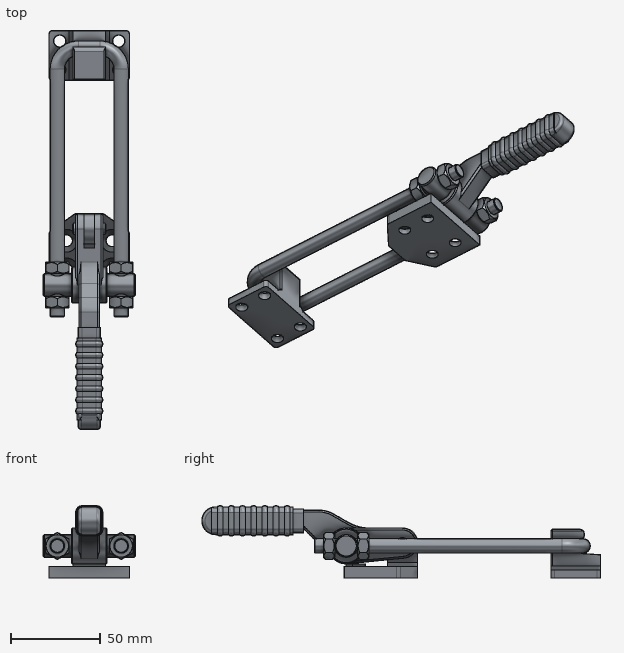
import cadquery as cq
import math


trunnion_z = 18.0
trunnion_diameter = 12.7
trunnion_length = 51.5
trunnion_chamfer = 0.7
bolt_diameter = 8.0
bolt_half_spacing = 17.8
bolt_bend_radius = 11.8
bolt_bend_y = 120.5
bolt_tip_y = -17.8
bolt_tip_chamfer = 0.5
bolt_cross_y = bolt_bend_y + bolt_bend_radius
nut_across_flats = 13.1
nut_across_corners = nut_across_flats / math.cos(math.radians(30))
nut_thickness = 6.5
nut_chamfer = 1.3

mount_width = 45.0
catch_front_y = 114.3
catch_back_y = 142.2
catch_middle_y = (catch_front_y + catch_back_y) / 2
catch_thickness = 4.7
catch_corner_radius = 2.0
catch_hole_diameter = 6.7
catch_hole_x = 16.5
mount_hole_pitch = 16.0
hook_width = 18.3
hook_top_z = 27.5
hook_nose_y = 133.0
hook_back_z = 13.1
hook_groove_diameter = 8.5
hook_nose_top_radius = 2.7
hook_nose_lower_radius = 1.5
hook_edge_chamfer = 1.0
rib_flare = 2.2

pin_y = 31.5
pin_z = 19.6
pin_diameter = 6.2
pin_length = 18.7
pin_chamfer = 0.7
nose_radius = 8.5

base_front_y = -1.1
base_back_y = pin_y + nose_radius
base_thickness = 6.7
base_corner_x = 14.7
base_corner_y = 10.3
base_corner_radius = 2.7
base_hole_diameter = 6.5
countersink_diameter = 12.7
base_hole_x = 12.7
base_hole_middle_y = 16.7
lug_width = 6.0
pad_width = 18.3
pad_front_y = -0.2
pad_back_y = 10.7
pad_height = 1.3

cheek_width = 15.5
hub_diameter = 20.0
hub_radius = hub_diameter / 2
hub_width = 20.0
hub_chamfer = 0.7
slot_back_y = 20.7
bar_width = 11.5
lever_chamfer = 1.1
strap_start_y = 13.0
strap_angle = 31.0
strap_crest_radius = 16.0
strap_top_z = 38.1
strap_crest_y = -15.2
strap_base_radius = 23.6
neck_start_y = -23.8
neck_width = 12.5
neck_height = 13.4
neck_corner_radius = 2.2

overall_length = 222.9
grip_z = 32.0
grip_start_y = -29.6
grip_end_y = catch_back_y - overall_length
grip_width = 13.8
grip_height = 15.5
grip_corner_radius = 3.1
grip_rib_height = 0.7
grip_rib_count = 7
grip_rib_pitch = 6.2
grip_rib_length = grip_rib_pitch / 2
grip_first_rib_y = -33.0
tip_start_y = -75.3
tip_width = 12.5
tip_edge_radius = 1.8


def box_between(width, y_range, z_range):
    """Box centred on X = 0 that spans the given Y and Z ranges."""
    y_low, y_high = y_range
    z_low, z_high = z_range
    centre = (0, (y_low + y_high) / 2, (z_low + z_high) / 2)
    return cq.Workplane("XY").box(width, y_high - y_low, z_high - z_low).translate(centre)


def cross_cylinder(diameter, length, y, z):
    """Cylinder along X, centred on X = 0."""
    return cq.Workplane("YZ", origin=(-length / 2, y, z)).circle(diameter / 2).extrude(length)


def extrude_across(outline, width):
    """Extrude a closed YZ outline symmetrically about X = 0."""
    return outline.extrude(width / 2, both=True)


def root_flare(width, y_range, z):
    """Sloped foot on both sides of an upright rib that stands at height z."""
    y_low, y_high = y_range
    half = width / 2
    foot = half + rib_flare
    return (
        cq.Workplane("XZ", origin=(0, y_high, 0))
        .polyline([(-foot, z), (foot, z), (half, z + rib_flare), (-half, z + rib_flare)])
        .close()
        .extrude(y_high - y_low)
    )


def mount_hole_points(hole_x, middle_y):
    """Two holes on each side, spaced evenly about middle_y."""
    half_pitch = mount_hole_pitch / 2
    return [(side * hole_x, middle_y + step * half_pitch) for side in (-1, 1) for step in (-1, 1)]


def make_catch(u_bolt):
    plate = box_between(mount_width, (catch_front_y, catch_back_y), (0, catch_thickness))
    plate = plate.edges("|Z").fillet(catch_corner_radius)
    hole_points = mount_hole_points(catch_hole_x, catch_middle_y)
    holes = cq.Workplane("XY").pushPoints(hole_points).circle(catch_hole_diameter / 2)
    plate = plate.cut(holes.extrude(catch_thickness))

    groove_radius = hook_groove_diameter / 2
    lip_y = hook_nose_y - hook_nose_lower_radius
    lip_z = trunnion_z + math.sqrt(groove_radius**2 - (bolt_cross_y - lip_y) ** 2)
    sill_z = trunnion_z - groove_radius
    outline = (
        cq.Workplane("YZ")
        .moveTo(catch_front_y, 0)
        .lineTo(catch_front_y, hook_top_z)
        .lineTo(hook_nose_y - hook_nose_top_radius, hook_top_z)
        .radiusArc((hook_nose_y, hook_top_z - hook_nose_top_radius), hook_nose_top_radius)
        .lineTo(hook_nose_y, lip_z + hook_nose_lower_radius)
        .radiusArc((lip_y, lip_z), hook_nose_lower_radius)
        .threePointArc((bolt_cross_y - groove_radius, trunnion_z), (bolt_cross_y, sill_z))
        .lineTo(catch_back_y, hook_back_z)
        .lineTo(catch_back_y, 0)
        .close()
    )
    bevel_block = box_between(
        hook_width,
        (catch_front_y, catch_back_y + hook_edge_chamfer),
        (-hook_edge_chamfer, hook_top_z),
    )
    bevel_block = bevel_block.faces(">Z or <Y").edges().chamfer(hook_edge_chamfer)
    hook = extrude_across(outline, hook_width).intersect(bevel_block)
    flare = root_flare(hook_width, (catch_front_y, catch_back_y), catch_thickness)
    return plate.union(flare).union(hook).cut(u_bolt)


def make_u_bolt():
    corner_x = bolt_half_spacing - bolt_bend_radius
    diagonal = bolt_bend_radius * math.sqrt(0.5)
    path = (
        cq.Workplane("XY", origin=(0, 0, trunnion_z))
        .moveTo(-bolt_half_spacing, bolt_tip_y)
        .lineTo(-bolt_half_spacing, bolt_bend_y)
        .threePointArc((-corner_x - diagonal, bolt_bend_y + diagonal), (-corner_x, bolt_cross_y))
        .lineTo(corner_x, bolt_cross_y)
        .threePointArc((corner_x + diagonal, bolt_bend_y + diagonal), (bolt_half_spacing, bolt_bend_y))
        .lineTo(bolt_half_spacing, bolt_tip_y)
    )
    section = cq.Workplane("XZ", origin=(-bolt_half_spacing, bolt_tip_y, trunnion_z)).circle(bolt_diameter / 2)
    return section.sweep(path).faces("<Y").chamfer(bolt_tip_chamfer)


def make_trunnion():
    trunnion = cross_cylinder(trunnion_diameter, trunnion_length, 0, trunnion_z)
    trunnion = trunnion.faces("<X or >X").chamfer(trunnion_chamfer)
    bolt_holes = (
        cq.Workplane("XZ", origin=(0, 0, trunnion_z))
        .pushPoints([(-bolt_half_spacing, 0), (bolt_half_spacing, 0)])
        .circle(bolt_diameter / 2)
        .extrude(trunnion_diameter / 2, both=True)
    )
    return trunnion.cut(bolt_holes)


def make_nut(x, front_y):
    """Hexagon nut along Y with a corner pointing up and both faces chamfered."""
    plane = cq.Workplane("XZ", origin=(x, front_y + nut_thickness, trunnion_z))
    hexagon = plane.transformed(rotate=(0, 0, 90)).polygon(6, nut_across_corners).extrude(nut_thickness)
    turned = plane.circle(nut_across_corners / 2).extrude(nut_thickness).edges().chamfer(nut_chamfer)
    bore = plane.circle(bolt_diameter / 2).extrude(nut_thickness)
    return hexagon.intersect(turned).cut(bore)


def make_base():
    half = mount_width / 2
    side_end_y = base_back_y - base_corner_y
    corner_x = half - base_corner_x
    plate = (
        cq.Workplane("XY")
        .polyline(
            [
                (-half, base_front_y),
                (half, base_front_y),
                (half, side_end_y),
                (corner_x, base_back_y),
                (-corner_x, base_back_y),
                (-half, side_end_y),
            ]
        )
        .close()
        .extrude(base_thickness)
    )
    side_corners = plate.faces("<X or >X").edges("|Z").edges(">Y")
    plate = side_corners.fillet(base_corner_radius)

    lug_front_y = pin_y - nose_radius
    lug = box_between(lug_width, (lug_front_y, base_back_y), (0, pin_z))
    lug = lug.union(cross_cylinder(2 * nose_radius, lug_width, pin_y, pin_z))
    flare = root_flare(lug_width, (lug_front_y, base_back_y), base_thickness)
    pad = box_between(pad_width, (pad_front_y, pad_back_y), (0, base_thickness + pad_height))
    base = plate.union(lug).union(flare).union(pad)

    hole_radius = base_hole_diameter / 2
    sink_radius = countersink_diameter / 2
    sink_depth = sink_radius - hole_radius
    for x, y in mount_hole_points(base_hole_x, base_hole_middle_y):
        sink_start = cq.Vector(x, y, base_thickness - sink_depth)
        hole = cq.Workplane("XY", origin=(x, y, 0)).circle(hole_radius).extrude(base_thickness)
        sink = cq.Workplane(cq.Solid.makeCone(hole_radius, sink_radius, sink_depth, pnt=sink_start))
        head_room = cq.Workplane("XY", origin=(x, y, base_thickness)).circle(sink_radius).extrude(pad_height)
        base = base.cut(hole).cut(sink).cut(head_room)
    return base.cut(cross_cylinder(pin_diameter, pin_length, pin_y, pin_z))


def make_pin():
    return cross_cylinder(pin_diameter, pin_length, pin_y, pin_z).faces("<X or >X").chamfer(pin_chamfer)


def lever_cheeks():
    """Front of the lever: rounded about the pin and tangent to the hub above and below."""
    span = math.hypot(pin_y, pin_z - trunnion_z)
    tilt = math.atan2(pin_z - trunnion_z, pin_y)
    lean = math.acos((hub_radius - nose_radius) / span)
    low = tilt - lean
    high = tilt + lean

    def on_circle(y, z, radius, angle):
        return (y + radius * math.cos(angle), z + radius * math.sin(angle))

    outline = (
        cq.Workplane("YZ")
        .moveTo(*on_circle(0, trunnion_z, hub_radius, low))
        .lineTo(*on_circle(pin_y, pin_z, nose_radius, low))
        .threePointArc(
            on_circle(pin_y, pin_z, nose_radius, tilt),
            on_circle(pin_y, pin_z, nose_radius, high),
        )
        .lineTo(*on_circle(0, trunnion_z, hub_radius, high))
        .close()
    )
    return extrude_across(outline, cheek_width).faces("<X or >X").chamfer(lever_chamfer)


def lever_bar():
    """Cranked bar that rises from the hub to the grip."""
    angle = math.radians(strap_angle)
    hub_top_z = trunnion_z + hub_radius
    slope_start = (
        strap_start_y - strap_base_radius * math.sin(angle),
        hub_top_z + strap_base_radius * (1 - math.cos(angle)),
    )
    slope_end = (
        strap_crest_y + strap_crest_radius * math.sin(angle),
        strap_top_z - strap_crest_radius * (1 - math.cos(angle)),
    )
    tangent_offset = hub_radius * math.sqrt(0.5)
    tangent_point = (-tangent_offset, trunnion_z - tangent_offset)
    underside_top_z = sum(tangent_point) - neck_start_y
    bar_end_y = neck_start_y - lever_chamfer
    outline = (
        cq.Workplane("YZ")
        .moveTo(strap_start_y, hub_top_z)
        .radiusArc(slope_start, strap_base_radius)
        .lineTo(*slope_end)
        .radiusArc((strap_crest_y, strap_top_z), -strap_crest_radius)
        .lineTo(bar_end_y, strap_top_z)
        .lineTo(bar_end_y, underside_top_z)
        .lineTo(neck_start_y, underside_top_z)
        .lineTo(*tangent_point)
        .lineTo(strap_start_y, trunnion_z)
        .close()
    )
    return extrude_across(outline, bar_width).faces("<X or >X").chamfer(lever_chamfer)


def rounded_bar(width, height, corner_radius, back_y, length):
    """Bar with rounded long edges that runs from back_y toward -Y at grip height."""
    bar = cq.Workplane("XZ", origin=(0, back_y, grip_z)).rect(width, height).extrude(length)
    return bar.edges("|Y").fillet(corner_radius)


def grip_rib(y):
    """Ring around the grip with a convex arc section that stands proud of the core."""
    half = grip_rib_length / 2
    surface_x = grip_width / 2
    root_x = surface_x - grip_rib_height
    section = (
        cq.Workplane("XY", origin=(0, 0, grip_z))
        .moveTo(root_x, y - half)
        .lineTo(surface_x, y - half)
        .threePointArc((surface_x + grip_rib_height, y), (surface_x, y + half))
        .lineTo(root_x, y + half)
        .close()
    )
    corner = grip_corner_radius
    flat_x = surface_x - corner
    edge_z = grip_height / 2
    flat_z = edge_z - corner
    path = (
        cq.Workplane("XZ", origin=(0, y, grip_z))
        .moveTo(surface_x, 0)
        .lineTo(surface_x, flat_z)
        .radiusArc((flat_x, edge_z), -corner)
        .lineTo(-flat_x, edge_z)
        .radiusArc((-surface_x, flat_z), -corner)
        .lineTo(-surface_x, -flat_z)
        .radiusArc((-flat_x, -edge_z), -corner)
        .lineTo(flat_x, -edge_z)
        .radiusArc((surface_x, -flat_z), -corner)
        .close()
    )
    return section.sweep(path)


def lever_grip():
    neck = rounded_bar(neck_width, neck_height, neck_corner_radius, neck_start_y, neck_start_y - grip_start_y)
    core = rounded_bar(grip_width, grip_height, grip_corner_radius, grip_start_y, grip_start_y - tip_start_y)

    end_radius = grip_height / 2
    end_axis_y = grip_end_y + end_radius
    z_range = (grip_z - end_radius, grip_z + end_radius)
    end_round = cross_cylinder(grip_height, grip_width, end_axis_y, grip_z)
    envelope = box_between(grip_width, (end_axis_y, grip_start_y), z_range).union(end_round)
    tip = cross_cylinder(grip_height, tip_width, end_axis_y, grip_z)
    tip = tip.faces("<X or >X").edges().fillet(tip_edge_radius)
    grip = neck.union(core.intersect(envelope)).union(tip)

    for index in range(grip_rib_count):
        grip = grip.union(grip_rib(grip_first_rib_y - index * grip_rib_pitch))
    return grip


def make_lever():
    hub = cross_cylinder(hub_diameter, hub_width, 0, trunnion_z).faces("<X or >X").chamfer(hub_chamfer)
    lever = lever_cheeks().union(lever_bar()).union(hub).union(lever_grip())
    slot_z = (trunnion_z - hub_diameter, trunnion_z + hub_diameter)
    slot = box_between(lug_width, (slot_back_y, pin_y + 2 * nose_radius), slot_z)
    pin_hole = cross_cylinder(pin_diameter, pin_length, pin_y, pin_z)
    trunnion_hole = cross_cylinder(trunnion_diameter, trunnion_length, 0, trunnion_z)
    return lever.cut(slot).cut(pin_hole).cut(trunnion_hole)


u_bolt = make_u_bolt()
catch = make_catch(u_bolt)
trunnion = make_trunnion()
base = make_base()
pin = make_pin()
lever = make_lever()

nuts = []
for nut_x in (-bolt_half_spacing, bolt_half_spacing):
    for nut_front_y in (trunnion_diameter / 2, -trunnion_diameter / 2 - nut_thickness):
        nuts.append(make_nut(nut_x, nut_front_y).val())

result = cq.Compound.makeCompound(
    [catch.val(), u_bolt.val(), trunnion.val(), base.val(), pin.val(), lever.val(), *nuts]
)